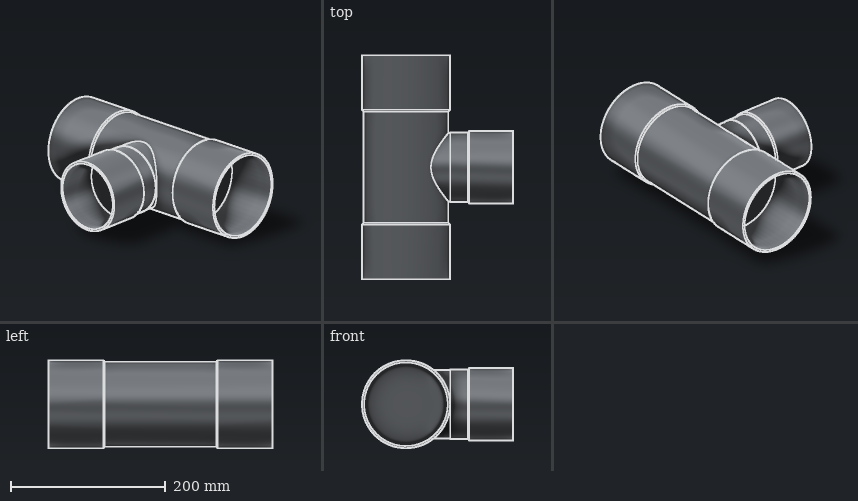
import cadquery as cq

socket_wall = 3.0
bore_floor_inset = 4.0

run_length = 290.0
run_diameter = 110.0
run_socket_diameter = 114.0
run_socket_length = 73.0

branch_reach = 138.5
saddle_diameter = 89.0
neck_diameter = 90.0
neck_clearance = 0.5
neck_start = run_socket_diameter / 2 + neck_clearance
branch_socket_diameter = 94.0
branch_socket_length = 58.5


def cylinder_along_y(diameter, length, start):
    """Cylinder on the Y axis from start towards +Y."""
    return cq.Workplane("XZ", origin=(0, start, 0)).circle(diameter / 2).extrude(-length)


def cylinder_along_x(diameter, length, start):
    """Cylinder on the X axis from start towards +X."""
    return cq.Workplane("YZ", origin=(start, 0, 0)).circle(diameter / 2).extrude(length)


def make_run():
    """Straight body with an enlarged socket, bevelled at its inner end, at each mouth."""
    bevel = (run_socket_diameter - run_diameter) / 2
    lower_mouth = -run_length / 2
    body = cylinder_along_y(run_diameter, run_length, lower_mouth)
    socket = cylinder_along_y(run_socket_diameter, run_socket_length, lower_mouth)
    socket = socket.faces(">Y").chamfer(bevel)
    return body.union(socket).union(socket.mirror("XZ"))


def make_branch():
    """Saddle, neck and bevelled socket in line along the branch axis."""
    bevel = (branch_socket_diameter - neck_diameter) / 2
    socket_start = branch_reach - branch_socket_length
    saddle = cylinder_along_x(saddle_diameter, neck_start, 0)
    neck = cylinder_along_x(neck_diameter, branch_reach - neck_start, neck_start)
    socket = cylinder_along_x(branch_socket_diameter, branch_socket_length, socket_start)
    socket = socket.faces("<X").chamfer(bevel)
    return saddle.union(neck).union(socket)


def cut_run_bores(tee):
    """Blind, flat-bottomed bore in each mouth of the run."""
    diameter = run_socket_diameter - 2 * socket_wall
    depth = run_socket_length - bore_floor_inset
    bore = cylinder_along_y(diameter, depth, -run_length / 2)
    return tee.cut(bore).cut(bore.mirror("XZ"))


def cut_branch_bore(tee):
    """Blind, flat-bottomed bore in the branch mouth."""
    diameter = branch_socket_diameter - 2 * socket_wall
    depth = branch_socket_length - bore_floor_inset
    return tee.cut(cylinder_along_x(diameter, depth, branch_reach - depth))


tee = make_run().union(make_branch())
result = cut_branch_bore(cut_run_bores(tee))